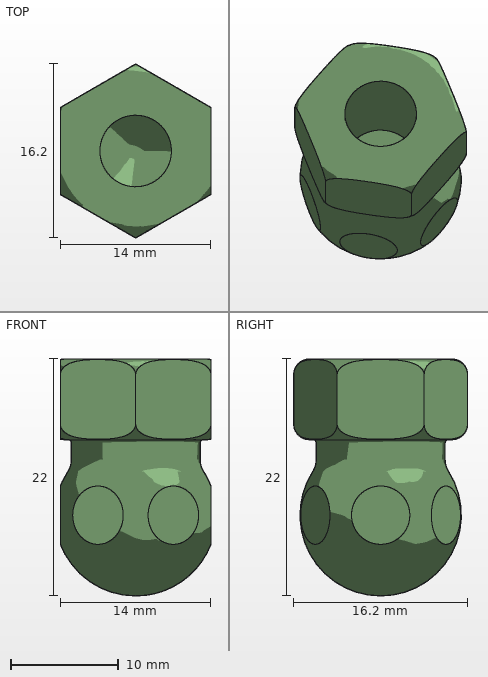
import cadquery as cq
import math

total_height = 22.0
across_flats = 14.0
hex_height = 7.5
face_circle_diameter = 13.2
neck_diameter = 12.0
flare_radius = 0.29
ball_radius = 7.5
blend_radius = 2.0
hole_diameter = 6.65
hole_depth = 11.0
drill_tip_angle = 118.0
flat_count = 6

across_corners = across_flats / math.cos(math.pi / flat_count)
corner_radius = across_corners / 2
hex_bottom = total_height - hex_height
neck_radius = neck_diameter / 2
hole_radius = hole_diameter / 2
edge_rounding = (across_corners - face_circle_diameter) / 2


def hexagon_prism(bottom, height):
    """Hexagonal prism with corners on the Y axis and flats facing X."""
    return (
        cq.Workplane("XY", origin=(0, 0, bottom))
        .polygon(flat_count, across_corners)
        .extrude(height)
        .rotate((0, 0, 0), (0, 0, 1), 90)
    )


def hex_head():
    """Hexagon whose corners are rounded by a filleted turned blank."""
    blank = (
        cq.Workplane("XY", origin=(0, 0, hex_bottom))
        .circle(corner_radius)
        .extrude(hex_height)
        .faces("<Z or >Z")
        .edges()
        .fillet(edge_rounding)
    )
    return hexagon_prism(hex_bottom, hex_height).intersect(blank)


def neck_and_ball():
    """Turned lower body: ball, tangent blend, neck and flare under the head."""
    blend_center_r = neck_radius + blend_radius
    center_distance = ball_radius + blend_radius
    blend_rise = math.sqrt(center_distance**2 - blend_center_r**2)
    blend_center_z = ball_radius + blend_rise
    touch_angle = math.atan2(blend_rise, blend_center_r)
    touch_r = ball_radius * math.cos(touch_angle)
    touch_z = ball_radius * (1 + math.sin(touch_angle))
    blend_mid_angle = touch_angle / 2
    blend_mid = (
        blend_center_r - blend_radius * math.cos(blend_mid_angle),
        blend_center_z - blend_radius * math.sin(blend_mid_angle),
    )
    flare_mid_offset = flare_radius * (1 - math.sqrt(0.5))
    flare_mid = (
        neck_radius + flare_mid_offset,
        hex_bottom - flare_mid_offset,
    )
    profile = (
        cq.Workplane("XZ")
        .moveTo(0, 0)
        .threePointArc((ball_radius, ball_radius), (touch_r, touch_z))
        .threePointArc(blend_mid, (neck_radius, blend_center_z))
        .lineTo(neck_radius, hex_bottom - flare_radius)
        .threePointArc(flare_mid, (neck_radius + flare_radius, hex_bottom))
        .lineTo(0, hex_bottom)
        .close()
    )
    turned = profile.revolve(360, (0, 0, 0), (0, 1, 0))
    return turned.intersect(hexagon_prism(0, hex_bottom))


def blind_hole():
    """Drilled hole from the top face with a conical tip."""
    tip_length = hole_radius / math.tan(math.radians(drill_tip_angle / 2))
    hole_floor = total_height - hole_depth
    return (
        cq.Workplane("XZ")
        .moveTo(0, total_height)
        .lineTo(hole_radius, total_height)
        .lineTo(hole_radius, hole_floor)
        .lineTo(0, hole_floor - tip_length)
        .close()
        .revolve(360, (0, 0, 0), (0, 1, 0))
    )


result = hex_head().union(neck_and_ball()).cut(blind_hole())